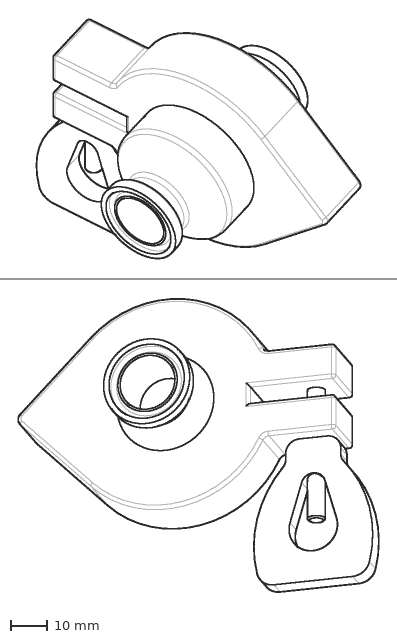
import cadquery as cq
import math


clamp_radius = 31.0
clamp_width = 18.0
arm_end_x = -49.0
arm_half_height = 12.5
slot_height = 5.0
slot_length = 24.7
nose_angle = math.radians(45)
nose_radius = 2.0
arm_root_radius = 2.0
edge_radius = 1.0

tube_radius = 19.05 / 2
bore_radius = 15.87 / 2
bore_depth = 20.0
inlet_face_y = -38.0
outlet_face_y = 27.0
flange_radius = 25.0 / 2
flange_length = 4.65
flange_angle = math.radians(20)
inlet_rim_radius = 0.6

groove_outer_radius = 21.82 / 2
land_radius = 8.6
land_recess = 0.85
groove_wall_run = 0.8
groove_wall_angle = math.radians(55)

body_radius = 38.0 / 2
body_shoulder_y = -20.8
inlet_cone_angle = math.radians(50)
body_blend_radius = 2.0
outlet_cone_end_y = 16.8
outlet_cone_angle = math.radians(30)

pin_x = -41.0
pin_diameter = 5.0
pin_end_z = -36.0
pin_top_z = 5.0
pin_chamfer = 0.5

lever_thickness = 6.0
lever_bottom_z = -54.9
lever_half_width = 17.25
lever_widest_z = -43.0
lever_side_radius = 2 * lever_half_width
lever_corner_radius = 5.0
head_half_width = 8.0
head_corner_radius = 4.0
neck_radius = 3.0
eye_radius = 7.0
eye_z = -39.0
eye_tip_radius = 3.5
eye_tip_z = -26.5


def prism(outline, thickness):
    """Extrude an XZ outline evenly to both sides of the XZ plane."""
    return outline.extrude(thickness / 2, both=True)


def xz_point(radius, angle, center=(0.0, 0.0)):
    """Point on a circle in the XZ plane."""
    return (center[0] + radius * math.cos(angle), center[1] + radius * math.sin(angle))


def y_edge_at(solid, x, z):
    """The edge parallel to Y that passes closest to (x, z)."""
    return solid.edges("|Y").edges(cq.selectors.NearestToPointSelector((x, 0, z)))


def make_clamp():
    tangent_x, tangent_z = xz_point(clamp_radius, nose_angle)
    nose_x = clamp_radius / math.cos(nose_angle)
    ring_x = -math.sqrt(clamp_radius**2 - arm_half_height**2)
    outline = (
        cq.Workplane("XZ")
        .moveTo(arm_end_x, arm_half_height)
        .lineTo(ring_x, arm_half_height)
        .threePointArc((0, clamp_radius), (tangent_x, tangent_z))
        .lineTo(nose_x, 0)
        .lineTo(tangent_x, -tangent_z)
        .threePointArc((0, -clamp_radius), (ring_x, -arm_half_height))
        .lineTo(arm_end_x, -arm_half_height)
        .close()
    )
    clamp = prism(outline, clamp_width)
    clamp = y_edge_at(clamp, nose_x, 0).fillet(nose_radius)
    for side in (1, -1):
        clamp = y_edge_at(clamp, ring_x, side * arm_half_height).fillet(arm_root_radius)

    slot = cq.Workplane("XY").box(2 * slot_length, clamp_width, slot_height)
    clamp = clamp.cut(slot.translate((arm_end_x, 0, 0)))
    return clamp.edges("<X or <Y or >Y").fillet(edge_radius)


def make_body():
    cone_end_y = body_shoulder_y - (body_radius - tube_radius) / math.tan(inlet_cone_angle)
    flange_slope = (flange_radius - tube_radius) * math.tan(flange_angle)
    inlet_flange_y = inlet_face_y + flange_length
    outlet_flange_y = outlet_face_y - flange_length
    outlet_cone_radius = tube_radius + outlet_cone_end_y * math.tan(outlet_cone_angle)
    body = (
        cq.Workplane("XY")
        .moveTo(0, inlet_face_y)
        .lineTo(flange_radius, inlet_face_y)
        .lineTo(flange_radius, inlet_flange_y - flange_slope)
        .lineTo(tube_radius, inlet_flange_y)
        .lineTo(tube_radius, cone_end_y)
        .lineTo(body_radius, body_shoulder_y)
        .lineTo(body_radius, 0)
        .lineTo(outlet_cone_radius, 0)
        .lineTo(tube_radius, outlet_cone_end_y)
        .lineTo(tube_radius, outlet_flange_y)
        .lineTo(flange_radius, outlet_flange_y + flange_slope)
        .lineTo(flange_radius, outlet_face_y)
        .lineTo(0, outlet_face_y)
        .close()
        .revolve(360, (0, 0, 0), (0, 1, 0))
    )
    round_edges = (
        (body_shoulder_y, body_blend_radius),
        (cone_end_y, body_blend_radius),
        (inlet_flange_y - flange_slope, inlet_rim_radius),
    )
    for edge_y, radius in round_edges:
        nearest = cq.selectors.NearestToPointSelector((0, edge_y, 0))
        body = body.edges("%CIRCLE").edges(nearest).fillet(radius)
    return body


def make_port():
    """Blind bore and gasket groove that open at y = 0 and run toward +Y."""
    bore = cq.Workplane("XZ").circle(bore_radius).extrude(-bore_depth)
    wall_end_radius = land_radius + groove_wall_run
    wall_end_depth = land_recess + groove_wall_run * math.tan(groove_wall_angle)
    bottom_radius = (groove_outer_radius - wall_end_radius) / (1 + math.sin(groove_wall_angle))
    outer_wall_depth = wall_end_depth - bottom_radius * math.cos(groove_wall_angle)
    groove = (
        cq.Workplane("XY")
        .lineTo(0, land_recess)
        .lineTo(land_radius, land_recess)
        .lineTo(wall_end_radius, wall_end_depth)
        .tangentArcPoint((groove_outer_radius, outer_wall_depth), relative=False)
        .lineTo(groove_outer_radius, 0)
        .close()
        .revolve(360, (0, 0, 0), (0, 1, 0))
    )
    return bore.union(groove)


def make_pin():
    """Pin that spans the slot and the lower arm; its top is embedded in the upper arm."""
    pin = cq.Workplane("XY", origin=(pin_x, 0, pin_end_z)).circle(pin_diameter / 2)
    return pin.extrude(pin_top_z - pin_end_z).faces("<Z").chamfer(pin_chamfer)


def make_lever():
    side_center_x = lever_half_width - lever_side_radius
    neck_x = head_half_width + neck_radius
    neck_reach = lever_side_radius + neck_radius
    neck_angle = math.acos((neck_x - side_center_x) / neck_reach)
    neck_z = lever_widest_z + neck_reach * math.sin(neck_angle)
    corner_z = lever_bottom_z + lever_corner_radius
    corner_reach = lever_side_radius - lever_corner_radius
    corner_angle = math.asin((corner_z - lever_widest_z) / corner_reach)
    corner_x = side_center_x + corner_reach * math.cos(corner_angle)

    side_center = (side_center_x, lever_widest_z)
    neck_end = xz_point(lever_side_radius, neck_angle, side_center)
    side_end = xz_point(lever_side_radius, corner_angle, side_center)
    head_top_z = -arm_half_height
    half_outline = (
        cq.Workplane("XZ")
        .moveTo(0, head_top_z)
        .lineTo(head_half_width - head_corner_radius, head_top_z)
        .tangentArcPoint((head_half_width, head_top_z - head_corner_radius), relative=False)
        .lineTo(head_half_width, neck_z)
        .tangentArcPoint(neck_end, relative=False)
        .threePointArc((lever_half_width, lever_widest_z), side_end)
        .tangentArcPoint((corner_x, lever_bottom_z), relative=False)
        .lineTo(0, lever_bottom_z)
        .close()
    )
    half = prism(half_outline, lever_thickness)
    lever = half.union(half.mirror("YZ"))
    return lever.cut(make_lever_eye()).translate((pin_x, 0, 0))


def make_lever_eye():
    """Teardrop opening: a large and a small circle joined by their common tangents."""
    taper = math.asin((eye_radius - eye_tip_radius) / (eye_tip_z - eye_z))
    eye_x, eye_tangent_z = xz_point(eye_radius, taper, (0, eye_z))
    tip_x, tip_tangent_z = xz_point(eye_tip_radius, taper, (0, eye_tip_z))
    outline = (
        cq.Workplane("XZ")
        .moveTo(eye_x, eye_tangent_z)
        .lineTo(tip_x, tip_tangent_z)
        .threePointArc((0, eye_tip_z + eye_tip_radius), (-tip_x, tip_tangent_z))
        .lineTo(-eye_x, eye_tangent_z)
        .threePointArc((0, eye_z - eye_radius), (eye_x, eye_tangent_z))
        .close()
    )
    return prism(outline, lever_thickness)


inlet_port = make_port().translate((0, inlet_face_y, 0))
outlet_port = make_port().mirror("XZ").translate((0, outlet_face_y, 0))
valve = make_clamp().union(make_body()).cut(inlet_port).cut(outlet_port)
result = valve.union(make_lever()).union(make_pin())